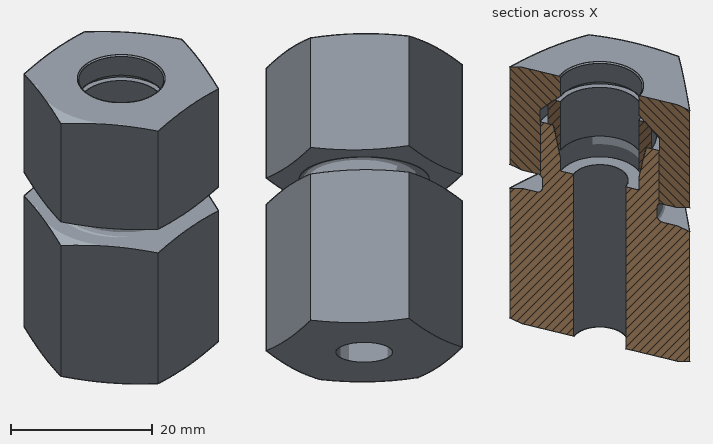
import cadquery as cq
import math

across_flats = 24.0
hex_half_side_angle = 30.0
across_corners = across_flats / math.cos(math.radians(hex_half_side_angle))
hex_face_diameter = across_flats
hex_chamfer_angle = 15.0

body_hex_height = 23.0
nut_gap = 3.0
nut_height = 17.5
nut_bottom = body_hex_height + nut_gap
nut_top = nut_bottom + nut_height

thread_radius = 18.38 / 2
stud_length = 12.0
stud_top = body_hex_height + stud_length
undercut_radius = 17.7 / 2
undercut_width = 2.95
undercut_fillet = 0.9
undercut_depth = thread_radius - undercut_radius
upper_fillet_height = math.sqrt(undercut_fillet**2 - (undercut_fillet - undercut_depth) ** 2)

tube_radius = 12.0 / 2
bore_diameter = 8.0
socket_depth = 7.5

cone_mouth_radius = 14.3 / 2
cone_half_angle = math.radians(12)
cone_depth = (cone_mouth_radius - tube_radius) / math.tan(cone_half_angle)

nut_bore_length = 3.35
nut_bore_chamfer = 0.2
clamp_cone_top = nut_top - nut_bore_length
clamp_cone_bottom = clamp_cone_top - (thread_radius - tube_radius)

ring_radius = 16.0 / 2
ring_top_gap = 0.9
ring_nose_length = 4.0
ring_top = clamp_cone_top - ring_top_gap
ring_top_radius = tube_radius + ring_top_gap
ring_shoulder = clamp_cone_top - (ring_radius - tube_radius)
ring_nose_radius = cone_mouth_radius - ring_nose_length * math.tan(cone_half_angle)


def revolve_profile(profile):
    """Turn a closed radius-height profile a full turn about the Z axis."""
    return profile.close().revolve(360, (0, 0, 0), (0, 1, 0))


def chamfered_hexagon(bottom, height):
    """Hexagonal prism with flats facing X and conical chamfers on both ends."""
    prism = (
        cq.Workplane("XY", origin=(0, 0, bottom))
        .polygon(6, across_corners)
        .extrude(height)
        .rotate((0, 0, 0), (0, 0, 1), hex_half_side_angle)
    )
    face_radius = hex_face_diameter / 2
    corner_radius = across_corners / 2
    drop = (corner_radius - face_radius) * math.tan(math.radians(hex_chamfer_angle))
    top = bottom + height
    envelope = revolve_profile(
        cq.Workplane("XZ")
        .moveTo(0, bottom)
        .lineTo(face_radius, bottom)
        .lineTo(corner_radius, bottom + drop)
        .lineTo(corner_radius, top - drop)
        .lineTo(face_radius, top)
        .lineTo(0, top)
    )
    return prism.intersect(envelope)


def make_body():
    """Hexagonal body with a threaded stud, a tube socket and a through bore."""
    fillet_outer_radius = undercut_radius + undercut_fillet
    undercut_top = body_hex_height + undercut_width
    stud = revolve_profile(
        cq.Workplane("XZ")
        .moveTo(0, body_hex_height)
        .lineTo(fillet_outer_radius, body_hex_height)
        .radiusArc((undercut_radius, body_hex_height + undercut_fillet), undercut_fillet)
        .lineTo(undercut_radius, undercut_top - upper_fillet_height)
        .radiusArc((thread_radius, undercut_top), undercut_fillet)
        .lineTo(thread_radius, stud_top)
        .lineTo(0, stud_top)
    )
    socket = revolve_profile(
        cq.Workplane("XZ")
        .moveTo(0, stud_top)
        .lineTo(cone_mouth_radius, stud_top)
        .lineTo(tube_radius, stud_top - cone_depth)
        .lineTo(tube_radius, stud_top - socket_depth)
        .lineTo(0, stud_top - socket_depth)
    )
    bore = cq.Workplane("XY").circle(bore_diameter / 2).extrude(stud_top)
    return chamfered_hexagon(0, body_hex_height).union(stud).cut(socket).cut(bore)


def make_nut():
    """Union nut with a threaded bore, a clamping cone and a chamfered tube hole."""
    cavity = revolve_profile(
        cq.Workplane("XZ")
        .moveTo(0, nut_bottom)
        .lineTo(thread_radius, nut_bottom)
        .lineTo(thread_radius, clamp_cone_bottom)
        .lineTo(tube_radius, clamp_cone_top)
        .lineTo(tube_radius, nut_top - nut_bore_chamfer)
        .lineTo(tube_radius + nut_bore_chamfer, nut_top)
        .lineTo(0, nut_top)
    )
    return chamfered_hexagon(nut_bottom, nut_height).cut(cavity)


def make_cutting_ring():
    """Ring clamped by the nut cone, with a shoulder on the stud and a tapered nose."""
    return revolve_profile(
        cq.Workplane("XZ")
        .moveTo(tube_radius, ring_top)
        .lineTo(ring_top_radius, ring_top)
        .lineTo(ring_radius, ring_shoulder)
        .lineTo(ring_radius, stud_top)
        .lineTo(cone_mouth_radius, stud_top)
        .lineTo(ring_nose_radius, stud_top - ring_nose_length)
        .lineTo(tube_radius, stud_top - ring_nose_length)
    )


body = make_body()
nut = make_nut()
cutting_ring = make_cutting_ring()

result = cq.Compound.makeCompound([*body.solids().vals(), *nut.solids().vals(), cutting_ring.val()])